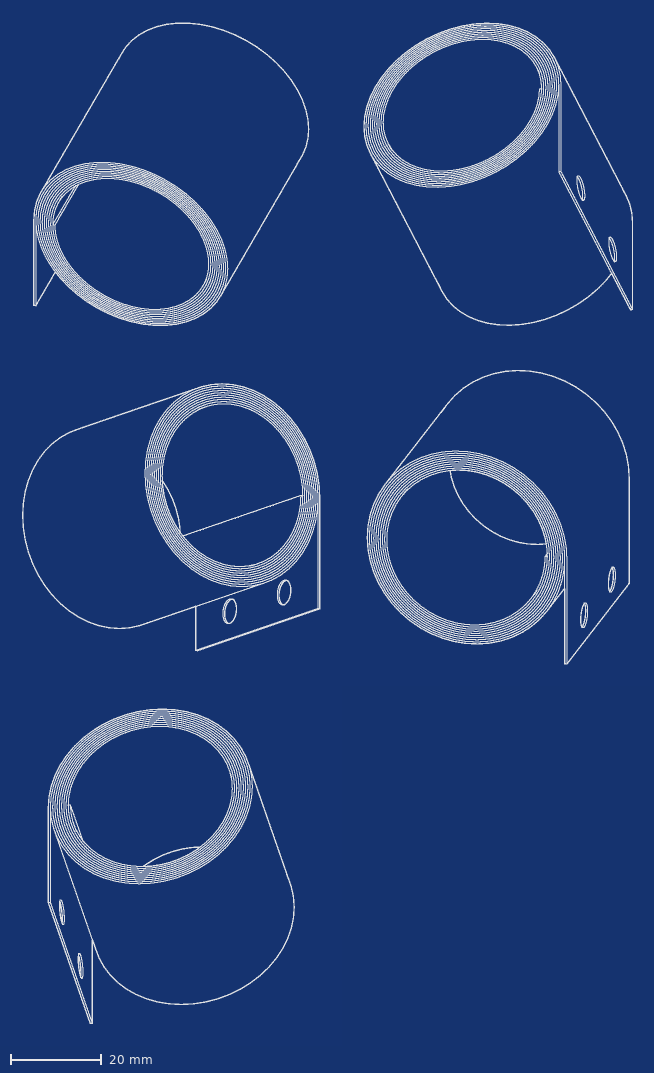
import cadquery as cq

strip_width = 50.0
coil_radius = 22.9
turns = 9
pitch = 0.5
clearance = 0.005
thickness = pitch - clearance
tail_length = 25.0

hole_diameter = 5.5
hole_spacing = 22.2
hole_height = 6.25


def half_turns(inset):
    """Return (middle, end) points of the half turns, from the tail inwards.

    The upper halves are centred on the coil axis. The lower halves are centred
    half a pitch to the right, so each full turn moves inwards by one pitch.
    """
    arcs = []
    for turn in range(turns):
        upper_radius = coil_radius - inset - turn * pitch
        lower_radius = upper_radius - pitch / 2
        arcs.append(((0, upper_radius), (upper_radius, 0)))
        arcs.append(((pitch / 2, -lower_radius), (pitch - upper_radius, 0)))
    return arcs


def make_strip():
    """Extrude the spiral profile and its tail, centred along Y."""
    outer_face = half_turns(0)
    inner_face = half_turns(thickness)
    tail_outer_x = -coil_radius
    tail_inner_x = tail_outer_x + thickness

    profile = cq.Workplane("XZ", origin=(0, strip_width / 2, 0))
    profile = profile.moveTo(tail_outer_x, -tail_length).lineTo(tail_outer_x, 0)
    for middle, end in outer_face:
        profile = profile.threePointArc(middle, end)

    inner_ends = [(tail_inner_x, 0)] + [end for _, end in inner_face]
    profile = profile.lineTo(*inner_ends[-1])
    for index in reversed(range(len(inner_face))):
        middle, _ = inner_face[index]
        profile = profile.threePointArc(middle, inner_ends[index])

    return profile.lineTo(tail_inner_x, -tail_length).close().extrude(strip_width)


def make_tail_holes():
    """Return cutters that pass through the tail but stop short of the coil."""
    return (
        cq.Workplane("YZ", origin=(-coil_radius, 0, hole_height - tail_length))
        .pushPoints([(-hole_spacing / 2, 0), (hole_spacing / 2, 0)])
        .circle(hole_diameter / 2)
        .extrude(pitch)
    )


result = make_strip().cut(make_tail_holes())